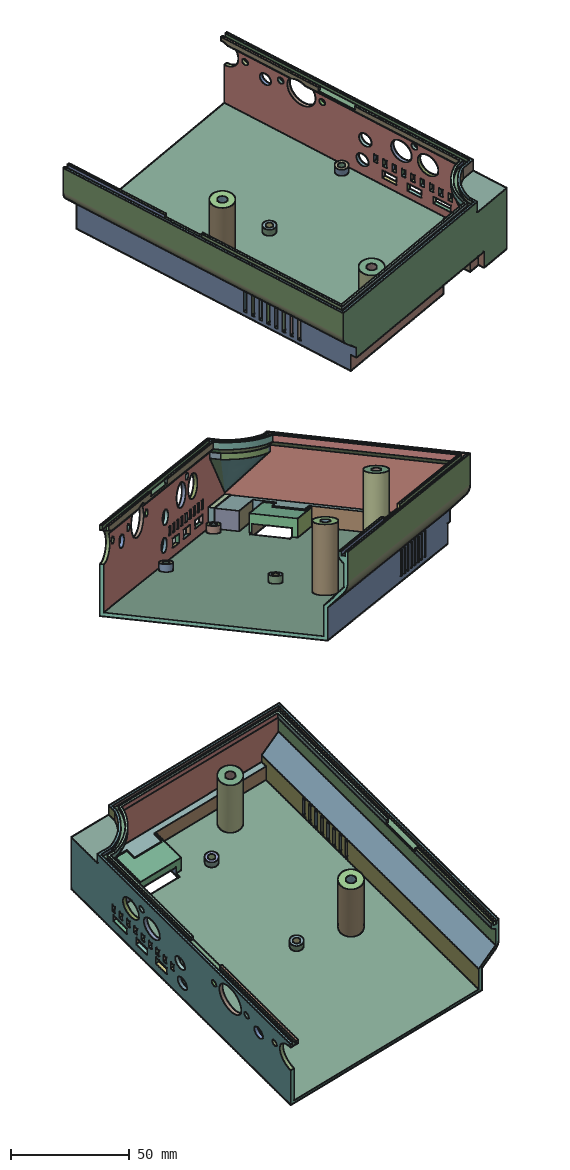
import cadquery as cq
import math

LENGTH = 149.95
DEPTH = 111.0
HEIGHT = 40.0
WALL = 1.8
CLEARANCE = 1.0

FRONT_SETBACK = 9.0
SLOPE_BOTTOM = 14.5
SLOPE_TOP = SLOPE_BOTTOM + FRONT_SETBACK
SLOPE_ROUND = 7.0

RIM_WIDTH = 4.0
RIM_HEIGHT = 3.1
RIM_BOTTOM = HEIGHT - RIM_HEIGHT
RIM_UNDERSIDE = RIM_BOTTOM - (RIM_WIDTH - WALL)
GROOVE_OUTER = 1.15
GROOVE_INNER = 2.9
GROOVE_BOTTOM = HEIGHT - 1.9
LATCH_START = 52.2
LATCH_END = 71.7

STEP_X = 18.0
STEP_Y = 20.0
STEP_ARC_START = 6.8
STEP_ARC_END = 4.15
STEP_ARC_MIDDLE = (12.75, 15.1)
STEP_FLOOR = 34.0
STEP_UNDERSIDE = 32.0
STEP_WALL = 2.2

RECESS_DEPTH = 3.0
RECESS_HEIGHT = 9.0
LEDGE_X = LENGTH - RECESS_DEPTH - WALL
LEDGE_TOP = RECESS_HEIGHT + WALL

BLOCK_X = 128.2
BACK_BLOCK_Y = 95.5
BACK_STRIP_Y = 106.5
BACK_STRIP_STEP = 0.2
CARD_BLOCK_Y = (69.3, 91.0)
CARD_BLOCK_TOP = 10.2
CARD_RIDGE_X = 139.9
CARD_RIDGE_Y = (70.4, 85.0)
CARD_SLOT_X = 125.9
CARD_SLOT_Y = (71.9, 89.8)
CARD_SLOT_TOP = 5.7

BOARD_POST_DIAMETER = 6.0
BOARD_POST_HOLE = 3.2
BOARD_POST_TOP = 5.2
BOARD_ORIGIN = (65.9, 56.4)
BOARD_PITCH = (58.0, 49.0)
TALL_POST_DIAMETER = 11.0
TALL_POST_HOLE = 4.4
TALL_POST_TOP = 33.0
TALL_POSTS = [(60.0, 32.0), (136.0, 37.0)]

FRONT_VENT_COUNT = 8
FRONT_VENT_FIRST_X = 90.4
FRONT_VENT_PITCH = 4.14
FRONT_VENT_WIDTH = 1.5
FRONT_VENT_Z = (2.3, 13.6)

PORT_DIAMETER = 15.0
PORT_SCREW_DIAMETER = 3.1
PORT_SCREW_OFFSET = 11.1
PORT_Z = 30.4
PORTS_X = [0.0, 41.3]
BACK_HOLES = [
    (22.0, 26.8, 5.9),
    (75.5, 21.8, 6.7),
    (74.0, 9.9, 6.5),
    (94.8, 26.0, 11.0),
    (109.1, 25.8, 11.0),
    (101.8, 32.2, PORT_SCREW_DIAMETER),
]
BACK_VENT_COUNT = 9
BACK_VENT_FIRST_X = 81.0
BACK_VENT_PITCH = 5.0
BACK_VENT_WIDTH = 2.0
BACK_VENT_Z = (12.3, 16.2)
SOCKETS = [
    (84.7, 92.2, 5.7, 9.8),
    (98.1, 105.6, 5.7, 9.8),
    (112.0, 121.3, 6.2, 9.8),
]


def box(x, y, z):
    """Box between the (start, end) pairs given for each axis."""
    size = [end - start for start, end in (x, y, z)]
    return cq.Workplane("XY").box(*size, centered=False).translate((x[0], y[0], z[0]))


def side_profile(inset, floor, top):
    """Case cross-section in the YZ plane, moved inwards by inset."""
    slope_shift = inset * math.tan(math.radians(22.5))
    return [
        (DEPTH - inset, floor),
        (FRONT_SETBACK + inset, floor),
        (FRONT_SETBACK + inset, SLOPE_BOTTOM + slope_shift),
        (inset, SLOPE_TOP + slope_shift),
        (inset, top),
        (DEPTH - inset, top),
    ]


def step_arc(offset):
    """Start, middle and end of the corner step's arc, moved by offset into the case."""
    diagonal = offset * math.sqrt(0.5)
    start = (LENGTH - STEP_X - offset, DEPTH - STEP_ARC_START)
    middle = (
        LENGTH - STEP_ARC_MIDDLE[0] - diagonal,
        DEPTH - STEP_ARC_MIDDLE[1] - diagonal,
    )
    end = (LENGTH - STEP_ARC_END, DEPTH - STEP_Y - offset)
    return start, middle, end


def rim_outline(inset, z):
    """Plan outline at height z, open end at x = 0, stepped in at the back right corner."""
    right = LENGTH - inset
    back = DEPTH - inset
    step_x = LENGTH - STEP_X - inset
    arc_start, arc_middle, arc_end = step_arc(inset)
    return (
        cq.Workplane("XY", origin=(0, 0, z))
        .moveTo(0, inset)
        .lineTo(right, inset)
        .lineTo(right, DEPTH - STEP_Y - inset)
        .lineTo(*arc_end)
        .threePointArc(arc_middle, arc_start)
        .lineTo(step_x, back)
        .lineTo(0, back)
        .close()
    )


def rim_prism(inset, bottom, top):
    return rim_outline(inset, bottom).extrude(top - bottom)


def corner_outline(margin, scale, z):
    """Rounded corner patch grown by margin, scaled about the inner back right corner."""
    right = LENGTH - WALL
    back = DEPTH - WALL

    def scaled(point):
        return right + (point[0] - right) * scale, back + (point[1] - back) * scale

    arc_start, arc_middle, arc_end = [scaled(point) for point in step_arc(margin)]
    return (
        cq.Workplane("XY", origin=(0, 0, z))
        .moveTo(right, back)
        .lineTo(arc_start[0], back)
        .lineTo(*arc_start)
        .threePointArc(arc_middle, arc_end)
        .lineTo(right, arc_end[1])
        .close()
        .wire()
        .val()
    )


def make_shell():
    outer = cq.Workplane("YZ").polyline(side_profile(0, 0, HEIGHT)).close().extrude(LENGTH)
    slope_edge = cq.selectors.BoxSelector(
        (-CLEARANCE, -CLEARANCE, SLOPE_TOP - CLEARANCE),
        (LENGTH + CLEARANCE, CLEARANCE, SLOPE_TOP + CLEARANCE),
    )
    outer = outer.edges(slope_edge).fillet(SLOPE_ROUND)

    cavity = (
        cq.Workplane("YZ")
        .polyline(side_profile(WALL, WALL, RIM_UNDERSIDE))
        .close()
        .extrude(LENGTH - WALL)
    )
    cavity = cavity.cut(make_corner_support())
    rim_slope = cq.Workplane(
        cq.Solid.makeLoft(
            [
                rim_outline(WALL, RIM_UNDERSIDE).wire().val(),
                rim_outline(RIM_WIDTH, RIM_BOTTOM).wire().val(),
            ],
            True,
        )
    )
    rim_opening = rim_prism(RIM_WIDTH, RIM_BOTTOM, HEIGHT)
    return outer.cut(cavity).cut(rim_slope).cut(rim_opening)


def make_corner_support():
    """Wall below the corner step, running down at 45 degrees to a point in the inner corner."""
    drop = STEP_Y - WALL + STEP_WALL
    tip_scale = 0.005
    tip_z = STEP_UNDERSIDE - drop * (1 - tip_scale)
    cone = cq.Solid.makeLoft(
        [
            corner_outline(STEP_WALL, tip_scale, tip_z),
            corner_outline(STEP_WALL, 1, STEP_UNDERSIDE),
        ],
        True,
    )
    band_face = cq.Face.makeFromWires(corner_outline(STEP_WALL, 1, STEP_UNDERSIDE))
    band = cq.Solid.extrudeLinear(band_face, cq.Vector(0, 0, RIM_UNDERSIDE - STEP_UNDERSIDE))
    return cq.Workplane(cone).union(cq.Workplane(band))


def cut_corner_step(body):
    corner = box(
        (LENGTH - STEP_X, LENGTH + CLEARANCE),
        (DEPTH - STEP_Y, DEPTH + CLEARANCE),
        (STEP_FLOOR, HEIGHT + CLEARANCE),
    )
    return body.cut(corner.cut(rim_prism(0, 0, HEIGHT + 2 * CLEARANCE)))


def cut_groove(body):
    """Lid groove, opened to the inside over the latch length on the front and back."""
    groove = rim_prism(GROOVE_OUTER, GROOVE_BOTTOM, HEIGHT)
    groove = groove.cut(rim_prism(GROOVE_INNER, GROOVE_BOTTOM, HEIGHT))
    latch = box(
        (LATCH_START, LATCH_END),
        (GROOVE_OUTER, DEPTH - GROOVE_OUTER),
        (GROOVE_BOTTOM, HEIGHT),
    )
    return body.cut(groove).cut(latch)


def add_blocks(body):
    right = LENGTH - WALL / 2
    back = DEPTH - WALL / 2
    floor = WALL / 2
    ledge = box((LEDGE_X, right), (FRONT_SETBACK + WALL / 2, back), (floor, LEDGE_TOP))
    back_block = box((BLOCK_X, right), (BACK_BLOCK_Y, back), (floor, LEDGE_TOP))
    back_strip = box(
        (BLOCK_X - BACK_STRIP_STEP, right),
        (BACK_STRIP_Y, back),
        (floor, LEDGE_TOP + BACK_STRIP_STEP),
    )
    card_block = box((BLOCK_X, right), CARD_BLOCK_Y, (floor, CARD_BLOCK_TOP))
    card_ridge = box((CARD_RIDGE_X, right), CARD_RIDGE_Y, (floor, LEDGE_TOP))
    for block in (ledge, back_block, back_strip, card_block, card_ridge):
        body = body.union(block)
    return body


def cut_right_side(body):
    """Recess at the foot of the right wall and the card slot through block and floor."""
    recess = box(
        (LENGTH - RECESS_DEPTH, LENGTH + CLEARANCE),
        (-CLEARANCE, BACK_BLOCK_Y),
        (-CLEARANCE, RECESS_HEIGHT),
    )
    slot = box((CARD_SLOT_X, LENGTH + CLEARANCE), CARD_SLOT_Y, (-CLEARANCE, CARD_SLOT_TOP))
    return body.cut(recess).cut(slot)


def add_posts(body, points, diameter, hole, top):
    bottom = WALL / 2
    posts = (
        cq.Workplane("XY", origin=(0, 0, bottom))
        .pushPoints(points)
        .circle(diameter / 2)
        .extrude(top - bottom)
    )
    holes = cq.Workplane("XY").pushPoints(points).circle(hole / 2).extrude(top)
    return body.union(posts).cut(holes)


def cut_front_vents(body):
    for i in range(FRONT_VENT_COUNT):
        left = FRONT_VENT_FIRST_X + i * FRONT_VENT_PITCH - FRONT_VENT_WIDTH / 2
        vent = box(
            (left, left + FRONT_VENT_WIDTH),
            (FRONT_SETBACK - CLEARANCE, FRONT_SETBACK + WALL + CLEARANCE),
            FRONT_VENT_Z,
        )
        body = body.cut(vent)
    return body


def cut_back_holes(body):
    reach = RIM_WIDTH + CLEARANCE
    holes = list(BACK_HOLES)
    for port_x in PORTS_X:
        holes.append((port_x, PORT_Z, PORT_DIAMETER))
        for screw_x in (port_x - PORT_SCREW_OFFSET, port_x + PORT_SCREW_OFFSET):
            holes.append((screw_x, PORT_Z, PORT_SCREW_DIAMETER))
    for x, z, diameter in holes:
        tool = cq.Workplane("XZ", origin=(x, DEPTH, z)).circle(diameter / 2).extrude(reach)
        body = body.cut(tool)
    return body


def cut_back_slots(body):
    wall_y = (DEPTH - WALL - CLEARANCE, DEPTH + CLEARANCE)
    for i in range(BACK_VENT_COUNT):
        left = BACK_VENT_FIRST_X + i * BACK_VENT_PITCH - BACK_VENT_WIDTH / 2
        body = body.cut(box((left, left + BACK_VENT_WIDTH), wall_y, BACK_VENT_Z))
    for x_start, x_end, z_start, z_end in SOCKETS:
        body = body.cut(box((x_start, x_end), wall_y, (z_start, z_end)))
    return body


board_posts = [
    (BOARD_ORIGIN[0] + i * BOARD_PITCH[0], BOARD_ORIGIN[1] + j * BOARD_PITCH[1])
    for i in range(2)
    for j in range(2)
]

case = make_shell()
case = cut_corner_step(case)
case = cut_groove(case)
case = add_blocks(case)
case = cut_right_side(case)
case = add_posts(case, board_posts, BOARD_POST_DIAMETER, BOARD_POST_HOLE, BOARD_POST_TOP)
case = add_posts(case, TALL_POSTS, TALL_POST_DIAMETER, TALL_POST_HOLE, TALL_POST_TOP)
case = cut_front_vents(case)
case = cut_back_holes(case)
case = cut_back_slots(case)

result = case